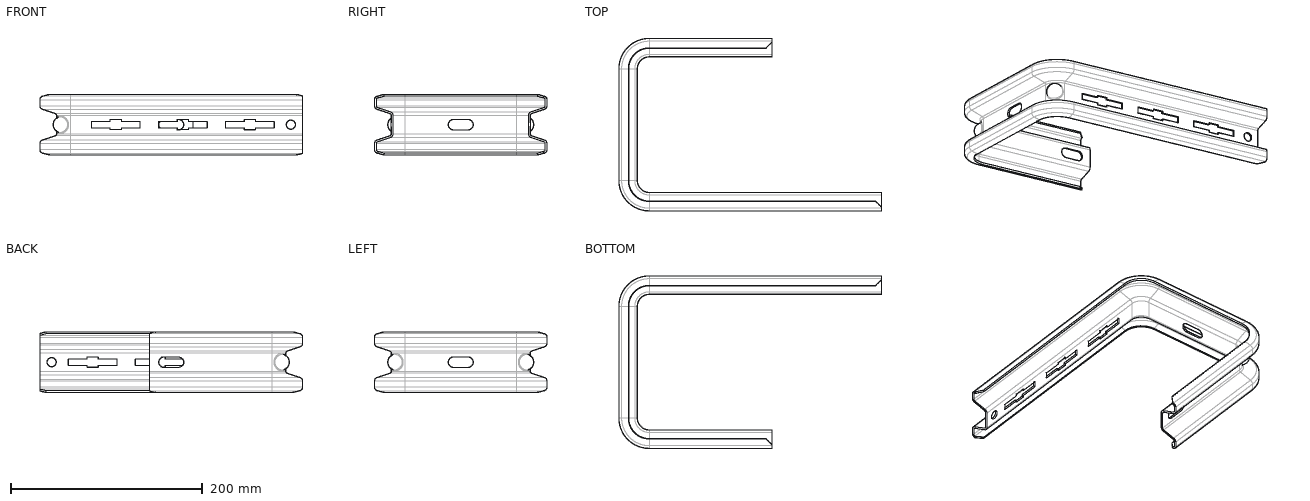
import cadquery as cq
import math

length = 274.0
width = 180.0
height = 63.3
back_arm_length = 159.7

sheet = 2.0
section_depth = 19.5
bend_inner_radius = 2.0
web_corner_height = 11.8
face_corner_height = 17.5
lip_corner_height = 28.2
lip_reach = 10.5

corner_radius = 31.8
lip_end_clip = 6.5

key_slot_start = 54.0
key_slot_pitch = 70.0
key_slot_count = 3
key_slot_length = 50.5
key_slot_height = 6.5
key_wide_offset = 19.5
key_wide_length = 11.5
key_wide_height = 10.5
end_hole_diameter = 9.3
end_hole_to_end = 12.3
round_slot_length = 25.8
round_slot_height = 10.7
back_slot_to_end = 22.7

dome_radius = 8.5
dome_base_fillet = 1.0


def point_between(start, end, distance):
    """Point at a given distance from start on the way to end."""
    share = distance / math.dist(start, end)
    return (start[0] + share * (end[0] - start[0]), start[1] + share * (end[1] - start[1]))


def shifted(point, direction, distance):
    """Point moved to the left of a travel direction."""
    return (point[0] - distance * math.sin(direction), point[1] + distance * math.cos(direction))


def sheet_side(corners, bend_radius, offset):
    """Start, list of (bend start, bend middle, bend end) and finish of one side of a bent sheet."""
    headings = [math.atan2(b[1] - a[1], b[0] - a[0]) for a, b in zip(corners, corners[1:])]
    bends = []
    for index in range(1, len(corners) - 1):
        before, corner, after = corners[index - 1:index + 2]
        heading_in, heading_out = headings[index - 1:index + 1]
        turn = heading_out - heading_in
        side = math.copysign(1, turn)
        tangent_length = bend_radius * math.tan(abs(turn) / 2)
        bend_start = point_between(corner, before, tangent_length)
        bend_end = point_between(corner, after, tangent_length)
        center = shifted(bend_start, heading_in, side * bend_radius)
        middle = shifted(center, heading_in + turn / 2, offset - side * bend_radius)
        bends.append((shifted(bend_start, heading_in, offset), middle, shifted(bend_end, heading_out, offset)))
    start = shifted(corners[0], headings[0], offset)
    finish = shifted(corners[-1], headings[-1], offset)
    return start, bends, finish


def section_on(plane):
    """Closed section of the formed sheet: local x is depth from the outer face, local y is Z."""
    half_sheet = sheet / 2
    web_depth = section_depth - half_sheet
    lip_slope = math.atan2(height / 2 - half_sheet - lip_corner_height, lip_reach - half_sheet)
    lip_tip = (
        lip_reach - half_sheet * math.sin(lip_slope),
        height / 2 - half_sheet * math.cos(lip_slope),
    )
    upper = [
        (web_depth, web_corner_height),
        (half_sheet, face_corner_height),
        (half_sheet, lip_corner_height),
        lip_tip,
    ]
    lower = [(depth, -z) for depth, z in reversed(upper)]
    middle_line = lower + upper
    bend_radius = bend_inner_radius + half_sheet

    start, bends, finish = sheet_side(middle_line, bend_radius, half_sheet)
    outline = cq.Workplane(plane).moveTo(*start)
    for bend_start, middle, bend_end in bends:
        outline = outline.lineTo(*bend_start).threePointArc(middle, bend_end)
    outline = outline.lineTo(*finish)

    start, bends, finish = sheet_side(middle_line, bend_radius, -half_sheet)
    outline = outline.lineTo(*finish)
    for bend_start, middle, bend_end in reversed(bends):
        outline = outline.lineTo(*bend_end).threePointArc(middle, bend_start)
    return outline.lineTo(*start).close()


def arm_plane(x, y, depth_direction):
    """Section plane at an outer-face point, with depth running along the given Y or X direction."""
    direction = cq.Vector(*depth_direction)
    return cq.Plane(origin=(x, y, 0), xDir=direction, normal=direction.cross(cq.Vector(0, 0, 1)))


def corner(plane):
    """Quarter turn of the section about the vertical corner axis."""
    return section_on(plane).revolve(90, (corner_radius, 0), (corner_radius, 1))


def lip_clip(arm_end, y, inward):
    """Prism that takes the corner off both lip ends of an arm."""
    tip_y = y + inward * (lip_reach + sheet)
    root_y = tip_y - inward * (lip_end_clip + sheet)
    clip = (
        cq.Workplane("XY", origin=(0, 0, -height))
        .polyline([(arm_end, root_y), (arm_end, tip_y), (arm_end - lip_end_clip - sheet, tip_y)])
        .close()
        .extrude(2 * height)
    )
    web_gap = cq.Workplane("XY").box(4 * length, 4 * width, 2 * lip_corner_height)
    return clip.cut(web_gap)


def dome(center_y, outward_y):
    """Spherical boss standing out of the web along the outward diagonal of a corner."""
    web_inner_radius = corner_radius - section_depth
    center_shift = (web_inner_radius + sheet / 2) * math.sqrt(0.5)
    ball = cq.Workplane("XY").sphere(dome_radius).translate(
        (corner_radius - center_shift, center_y + outward_y * center_shift, 0)
    )
    inside_corner = (
        cq.Workplane("XY", origin=(corner_radius, center_y, 0))
        .circle(web_inner_radius)
        .extrude(height, both=True)
    )
    return ball.cut(inside_corner)


def web_opening(x, wall_y, profile_length, profile_height):
    """Rectangular cutter through a web that faces Y, starting at x."""
    return cq.Workplane("XY", origin=(x, wall_y, 0)).box(
        profile_length, 2 * section_depth, profile_height, centered=(False, True, True)
    )


def round_slot(plane, center):
    """Round-ended cutter through a web, long along the plane's local x."""
    return (
        cq.Workplane(plane, origin=center)
        .slot2D(round_slot_length, round_slot_height)
        .extrude(section_depth, both=True)
    )


front = section_on(arm_plane(corner_radius, 0, (0, 1, 0))).extrude(length - corner_radius)
back = section_on(arm_plane(corner_radius, width, (0, -1, 0))).extrude(corner_radius - back_arm_length)
side = section_on(arm_plane(0, corner_radius, (1, 0, 0))).extrude(2 * corner_radius - width)
front_corner = corner(arm_plane(0, corner_radius, (1, 0, 0)))
back_corner = corner(arm_plane(corner_radius, width, (0, -1, 0)))
result = front.union(front_corner).union(side).union(back_corner).union(back)

for center_y, outward_y in ((corner_radius, -1), (width - corner_radius, 1)):
    result = result.union(dome(center_y, outward_y))
result = result.edges("%BSPLINE").fillet(dome_base_fillet)

for index in range(key_slot_count):
    slot_start = key_slot_start + index * key_slot_pitch
    result = result.cut(web_opening(slot_start, section_depth, key_slot_length, key_slot_height))
    wide_start = slot_start + key_wide_offset
    result = result.cut(web_opening(wide_start, section_depth, key_wide_length, key_wide_height))
end_hole = (
    cq.Workplane("XZ", origin=(length - end_hole_to_end, section_depth, 0))
    .circle(end_hole_diameter / 2)
    .extrude(section_depth, both=True)
)
result = result.cut(end_hole)

back_slot_center = (back_arm_length - back_slot_to_end, width - section_depth, 0)
result = result.cut(round_slot("XZ", back_slot_center))
result = result.cut(round_slot("YZ", (section_depth, width / 2, 0)))

result = result.cut(lip_clip(length, 0, 1))
result = result.cut(lip_clip(back_arm_length, width, -1))